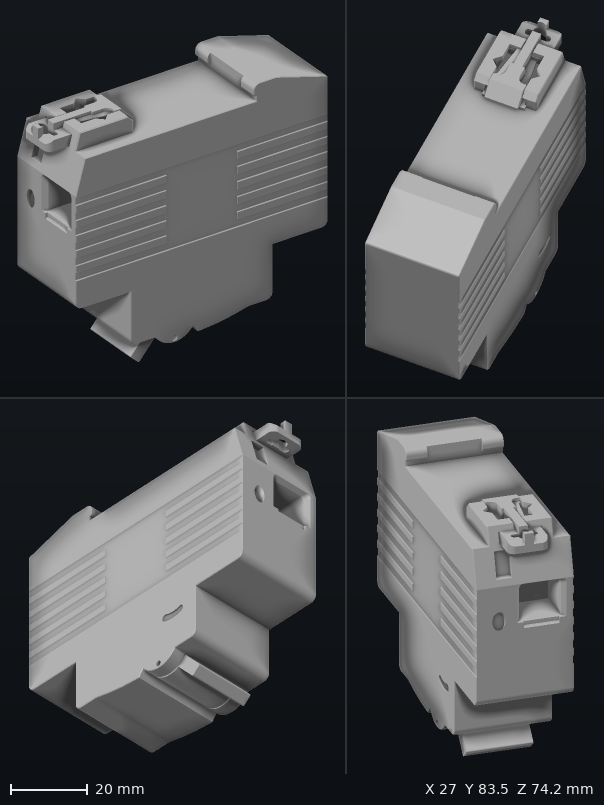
import cadquery as cq
import math

PICK = 0.1

HALF_WIDTH = 13.5
LENGTH = 80.0
DECK_Z = 44.3
EDGE_CHAMFER = 0.2
CORNER_RADIUS = 2.0

FRONT_SLOPE_Z = 33.8
FRONT_SLOPE_RUN = 4.4

NECK_FRONT_Y = 17.5
NECK_LENGTH = 45.0
NECK_BACK_Y = NECK_FRONT_Y + NECK_LENGTH
NECK_Z = -16.1
COVER_START_Y = 54.9
COVER_Z = -18.5
COVER_MID_Y = 47.0
COVER_MID_Z = -17.75
COVER_FLAT = 1.2
CUSP_Z = -16.4
COVER_END_Y = 38.8

DRUM_Y = 31.4
DRUM_Z = -12.2
DRUM_RADIUS = 7.2
LEVER_WIDTH = 18.5
LEVER_THICKNESS = 3.6
LEVER_ANGLE = 49.0
LEVER_REACH = 14.96
LEVER_GAP = 0.45
LEVER_EDGE_RADIUS = 0.4
SEAL_HOLE_DIAMETER = 1.7
SEAL_HOLE_Z = -18.05

HOOK_BACK_Z = 44.7
HOOK_BACK_RADIUS = 0.8
HOOK_TOP_Z = 49.5
HOOK_SLOPE_END_Y = 63.5
HOOK_ROOT_Y = 57.3
HOOK_NOSE_Y = 56.4
HOOK_NOSE_RADIUS = 2.0
HOOK_LIP_Z = 46.6
HOOK_LIP_RADIUS = HOOK_ROOT_Y - HOOK_NOSE_Y
HOOK_NOTCH_HALF_WIDTH = 7.6

BAND_TOP_Z = 33.5
BAND_BOTTOM_Z = 8.6
BAND_DEPTH = 0.25
BAND_WALL_RUN = 0.25
STRIP_COUNT = 5
STRIP_HEIGHT = 2.4
STRIP_LENGTH = 28.75
STRIP_PITCH = 4.5
STRIP_FIRST_Z = 12.1

ARC_SLOT_Y = 26.1
ARC_SLOT_Z = 2.7
ARC_SLOT_RADIUS = 7.6
ARC_SLOT_WIDTH = 2.1
ARC_SLOT_HALF_ANGLE = 22.0
ARC_SLOT_DEPTH = 0.5

SOCKET_X = 4.6
SOCKET_HALF_WIDTH = 5.75
SOCKET_TOP_Z = 33.0
SOCKET_BOTTOM_Z = 22.7
SOCKET_DEPTH = 12.0
SOCKET_LIP = 1.05
SOCKET_LIP_TOP = 0.75
SOCKET_LIP_DEPTH = 1.5
SOCKET_CORNER = 1.2
SILL_HALF_WIDTH = 4.9
SILL_DROP = 1.7
SILL_SLOPE_RISE = 0.6
SILL_DEPTH = 0.6

LED_X = -7.2
LED_Z = 24.0
LED_WIDTH = 3.6
LED_HEIGHT = 5.4
LED_DEPTH = 1.2

POCKET_X = -5.5
POCKET_WIDTH = 4.4
POCKET_BOTTOM_Z = 35.7
POCKET_TOP_Z = 43.0
POCKET_DEPTH = 2.0

BLOCK_HALF_WIDTH = 9.0
BLOCK_TOP_Z = 49.5
BLOCK_BACK_Y = 21.4
BLOCK_CHAMFER = 1.7
BLOCK_EDGE_CHAMFER = 0.3
BLOCK_ROOT = 1.0
BLOCK_FRONT_WALL_Y = 7.65
TUNNEL_HALF_WIDTH = 6.1
TUNNEL_TOP_Z = 47.8
OPENING_HALF_WIDTH = 4.95
NOTCH_DEPTH = 1.92
NOTCH_Y = 14.0
RIB_SLOT_HALF_WIDTH = 1.75

SLIDER_TOP_Z = 49.7
SLIDER_FRONT_Y = -3.5
SLIDER_BACK_Y = 24.0
SLIDER_HEAD_HALF_WIDTH = 4.73
PLATE_HALF_WIDTH = 5.58
PLATE_TOP_Z = 47.6
PLATE_CORNER_RADIUS = 1.9
PLATE_BEVEL_DROP = 1.15
FLOOR_Z = 45.3
HEEL_Y = 22.6
RIB_HALF_WIDTH = 1.25
RIB_FRONT_Y = 1.35
STEM_HALF_WIDTH = 2.0
STEM_FRONT_Y = 13.3
HEAD_FRONT_Y = 18.4
HEAD_FILLET = 1.9
HEAD_BEVEL = 3.5
HEAD_TIP = 0.4
ARM_ROOT_X = 4.1
ARM_ROOT_Y = 17.4
ARM_TIP_X = 2.75
RIGHT_ARM_TOP_Z = 48.7
LEFT_ARM_TOP_Z = 46.2
ARM_ROOT_FILLET = 0.5
FINGER_BACK_Y = -1.6
GRIP_HALF_LENGTH = 3.7
GRIP_BACK_Y = 1.6
GRIP_FRONT_Y = -0.3
GRIP_ARC_RADIUS = 1.9


def box(x0, x1, y0, y1, z0, z1):
    return cq.Workplane("XY").box(x1 - x0, y1 - y0, z1 - z0, centered=False).translate((x0, y0, z0))


def side_prism(points, half_width):
    """Extrude a (Y, Z) outline symmetrically about X = 0."""
    return cq.Workplane("YZ").polyline(points).close().extrude(half_width, both=True)


def plan_prism(points, bottom_z, top_z):
    """Extrude an (X, Y) outline between two heights."""
    return cq.Workplane("XY").workplane(offset=bottom_z).polyline(points).close().extrude(top_z - bottom_z)


def mirrored(points):
    """Complete a right-hand (X, Y) outline with its mirror image about X = 0."""
    return points + [(-x, y) for x, y in reversed(points)]


def front_slope_y(z):
    return FRONT_SLOPE_RUN * (z - FRONT_SLOPE_Z) / (BLOCK_TOP_Z - FRONT_SLOPE_Z)


def drum_offset(z):
    """Half chord of the drum at a height."""
    return math.sqrt(DRUM_RADIUS**2 - (z - DRUM_Z)**2)


def housing():
    nose_top_y = HOOK_NOSE_Y + HOOK_NOSE_RADIUS
    nose_z = HOOK_TOP_Z - HOOK_NOSE_RADIUS
    bend = math.sqrt(0.5)
    body = (
        cq.Workplane("YZ")
        .moveTo(0, 0)
        .lineTo(0, FRONT_SLOPE_Z)
        .lineTo(front_slope_y(DECK_Z), DECK_Z)
        .lineTo(HOOK_ROOT_Y, DECK_Z)
        .lineTo(HOOK_ROOT_Y, HOOK_LIP_Z - HOOK_LIP_RADIUS)
        .threePointArc(
            (HOOK_NOSE_Y + HOOK_LIP_RADIUS * (1 - bend), HOOK_LIP_Z - HOOK_LIP_RADIUS * bend),
            (HOOK_NOSE_Y, HOOK_LIP_Z),
        )
        .lineTo(HOOK_NOSE_Y, nose_z)
        .threePointArc(
            (nose_top_y - HOOK_NOSE_RADIUS * bend, nose_z + HOOK_NOSE_RADIUS * bend),
            (nose_top_y, HOOK_TOP_Z),
        )
        .lineTo(HOOK_SLOPE_END_Y, HOOK_TOP_Z)
        .lineTo(LENGTH, HOOK_BACK_Z)
        .lineTo(LENGTH, 0)
        .lineTo(NECK_BACK_Y, 0)
        .lineTo(NECK_BACK_Y, NECK_Z)
        .lineTo(COVER_START_Y, NECK_Z)
        .threePointArc((COVER_MID_Y, COVER_MID_Z), (COVER_END_Y + COVER_FLAT, COVER_Z))
        .lineTo(COVER_END_Y, COVER_Z)
        .lineTo(DRUM_Y + drum_offset(CUSP_Z), CUSP_Z)
        .threePointArc((DRUM_Y, DRUM_Z - DRUM_RADIUS), (DRUM_Y - drum_offset(NECK_Z), NECK_Z))
        .lineTo(NECK_FRONT_Y, NECK_Z)
        .lineTo(NECK_FRONT_Y, 0)
        .close()
        .extrude(HALF_WIDTH, both=True)
    )

    def edge_at(solid, y, z):
        return solid.edges(cq.selectors.BoxSelector((-PICK, y - PICK, z - PICK), (PICK, y + PICK, z + PICK)))

    for y, z in [(0, 0), (LENGTH, 0), (NECK_FRONT_Y, NECK_Z), (NECK_BACK_Y, NECK_Z)]:
        body = edge_at(body, y, z).fillet(CORNER_RADIUS)
    body = edge_at(body, LENGTH, HOOK_BACK_Z).fillet(HOOK_BACK_RADIUS)
    body = body.faces("<X or >X").chamfer(EDGE_CHAMFER)
    hook_notch = box(
        -HOOK_NOTCH_HALF_WIDTH, HOOK_NOTCH_HALF_WIDTH,
        HOOK_NOSE_Y, HOOK_ROOT_Y, DECK_Z, HOOK_TOP_Z,
    )
    return body.cut(hook_notch)


def bands():
    """Material removed from the +X side: a recessed band that leaves raised strips at both ends."""
    inner = HALF_WIDTH - BAND_DEPTH

    def bar(bottom, top, flare, y0, y1):
        outline = [(inner, bottom), (HALF_WIDTH, bottom - flare), (HALF_WIDTH, top + flare), (inner, top)]
        return cq.Workplane("XZ").polyline(outline).close().extrude(-(y1 - y0)).translate((0, y0, 0))

    band = bar(BAND_BOTTOM_Z + BAND_WALL_RUN, BAND_TOP_Z - BAND_WALL_RUN, BAND_WALL_RUN, 0, LENGTH)
    for i in range(STRIP_COUNT):
        bottom = STRIP_FIRST_Z + i * STRIP_PITCH - STRIP_HEIGHT / 2
        for y0 in (0, LENGTH - STRIP_LENGTH):
            strip = bar(bottom, bottom + STRIP_HEIGHT, -BAND_WALL_RUN, y0, y0 + STRIP_LENGTH)
            band = band.cut(strip)
    return band


def arc_slot():
    inner = ARC_SLOT_RADIUS - ARC_SLOT_WIDTH / 2
    outer = ARC_SLOT_RADIUS + ARC_SLOT_WIDTH / 2

    def at(radius, degrees):
        angle = math.radians(degrees)
        return (ARC_SLOT_Y + radius * math.sin(angle), ARC_SLOT_Z - radius * math.cos(angle))

    end = ARC_SLOT_HALF_ANGLE
    cap = end + math.degrees(ARC_SLOT_WIDTH / 2 / ARC_SLOT_RADIUS)
    return (
        cq.Workplane("YZ").workplane(offset=-HALF_WIDTH)
        .moveTo(*at(inner, -end))
        .threePointArc(at(inner, 0), at(inner, end))
        .threePointArc(at(ARC_SLOT_RADIUS, cap), at(outer, end))
        .threePointArc(at(outer, 0), at(outer, -end))
        .threePointArc(at(ARC_SLOT_RADIUS, -cap), at(inner, -end))
        .close()
        .extrude(ARC_SLOT_DEPTH)
    )


def socket():
    """Connector opening with a bevelled mouth and a sloped sill below it."""
    def mouth(plane, widen, raise_top):
        half = SOCKET_HALF_WIDTH + widen
        top = SOCKET_TOP_Z + raise_top
        inset = SOCKET_CORNER * (1 - math.sqrt(0.5))
        return (
            plane.moveTo(SOCKET_X - half, SOCKET_BOTTOM_Z)
            .lineTo(SOCKET_X + half, SOCKET_BOTTOM_Z)
            .lineTo(SOCKET_X + half, top - SOCKET_CORNER)
            .threePointArc(
                (SOCKET_X + half - inset, top - inset), (SOCKET_X + half - SOCKET_CORNER, top)
            )
            .lineTo(SOCKET_X - half + SOCKET_CORNER, top)
            .threePointArc(
                (SOCKET_X - half + inset, top - inset), (SOCKET_X - half, top - SOCKET_CORNER)
            )
            .close()
        )

    outer = mouth(cq.Workplane("XZ"), SOCKET_LIP, SOCKET_LIP_TOP)
    lip = mouth(outer.workplane(offset=-SOCKET_LIP_DEPTH), 0, 0).loft(ruled=True)
    cavity = mouth(cq.Workplane("XZ"), 0, 0).extrude(-SOCKET_DEPTH)
    sill_z = SOCKET_BOTTOM_Z - SILL_DROP
    sill = side_prism(
        [
            (0, sill_z),
            (SILL_DEPTH, sill_z + SILL_SLOPE_RISE),
            (SILL_DEPTH, SOCKET_BOTTOM_Z),
            (0, SOCKET_BOTTOM_Z),
        ],
        SILL_HALF_WIDTH,
    ).translate((SOCKET_X, 0, 0))
    return lip.union(cavity).union(sill)


def led_hole():
    """Oval hole that runs inward and downward."""
    return (
        cq.Workplane("XZ", origin=(LED_X, 0, LED_Z)).ellipse(LED_WIDTH / 2, LED_HEIGHT / 2)
        .workplane(offset=-LED_DEPTH).center(0, -LED_DEPTH).ellipse(LED_WIDTH / 2, LED_HEIGHT / 2)
        .loft(ruled=True)
    )


def slope_pocket():
    """Rectangular recess in the leaning part of the front face."""
    front_low = front_slope_y(POCKET_BOTTOM_Z)
    front_high = front_slope_y(POCKET_TOP_Z)
    return side_prism(
        [
            (front_low - POCKET_DEPTH, POCKET_BOTTOM_Z),
            (front_low + POCKET_DEPTH, POCKET_BOTTOM_Z),
            (front_high + POCKET_DEPTH, POCKET_TOP_Z),
            (front_high - POCKET_DEPTH, POCKET_TOP_Z),
        ],
        POCKET_WIDTH / 2,
    ).translate((POCKET_X, 0, 0))


def lever_gaps():
    """Clearance beside the lever, below the neck, at both sides."""
    gap = box(
        LEVER_WIDTH / 2, LEVER_WIDTH / 2 + LEVER_GAP,
        DRUM_Y - DRUM_RADIUS, DRUM_Y + drum_offset(NECK_Z),
        DRUM_Z - DRUM_RADIUS, NECK_Z,
    )
    return gap.union(gap.mirror("YZ"))


def lever():
    return (
        cq.Workplane("YZ")
        .rect(LEVER_REACH, LEVER_THICKNESS)
        .extrude(LEVER_WIDTH / 2, both=True)
        .edges("<Y and |X").fillet(LEVER_EDGE_RADIUS)
        .translate((0, -LEVER_REACH / 2, 0))
        .rotate((0, 0, 0), (1, 0, 0), LEVER_ANGLE)
        .translate((0, DRUM_Y, DRUM_Z))
    )


def latch_block():
    root_z = DECK_Z - BLOCK_ROOT
    block = side_prism(
        [
            (front_slope_y(root_z), root_z),
            (front_slope_y(BLOCK_TOP_Z), BLOCK_TOP_Z),
            (BLOCK_BACK_Y - BLOCK_CHAMFER, BLOCK_TOP_Z),
            (BLOCK_BACK_Y, BLOCK_TOP_Z - BLOCK_CHAMFER),
            (BLOCK_BACK_Y, root_z),
        ],
        BLOCK_HALF_WIDTH,
    )
    block = block.faces("<X or >X").chamfer(BLOCK_EDGE_CHAMFER)
    tunnel = box(-TUNNEL_HALF_WIDTH, TUNNEL_HALF_WIDTH, 0, BLOCK_BACK_Y, DECK_Z, TUNNEL_TOP_Z)
    opening = plan_prism(
        mirrored([
            (RIB_SLOT_HALF_WIDTH, 0),
            (RIB_SLOT_HALF_WIDTH, BLOCK_FRONT_WALL_Y),
            (OPENING_HALF_WIDTH, BLOCK_FRONT_WALL_Y),
            (OPENING_HALF_WIDTH, NOTCH_Y - NOTCH_DEPTH),
            (OPENING_HALF_WIDTH + NOTCH_DEPTH, NOTCH_Y),
            (OPENING_HALF_WIDTH, NOTCH_Y + NOTCH_DEPTH),
            (OPENING_HALF_WIDTH, BLOCK_BACK_Y),
        ]),
        DECK_Z, BLOCK_TOP_Z,
    )
    return block.cut(tunnel).cut(opening)


def slider_plate():
    """Pull tab with a grip hole, and the thin plate running back under the spring arms."""
    tab = box(
        -PLATE_HALF_WIDTH, PLATE_HALF_WIDTH,
        SLIDER_FRONT_Y, BLOCK_FRONT_WALL_Y, DECK_Z, PLATE_TOP_Z,
    )
    tab = tab.edges("|Z and <Y").fillet(PLATE_CORNER_RADIUS)
    bevel = side_prism(
        [
            (FINGER_BACK_Y, PLATE_TOP_Z),
            (SLIDER_FRONT_Y, PLATE_TOP_Z - PLATE_BEVEL_DROP),
            (SLIDER_FRONT_Y, PLATE_TOP_Z),
        ],
        PLATE_HALF_WIDTH,
    )
    finger = box(-RIB_HALF_WIDTH, RIB_HALF_WIDTH, SLIDER_FRONT_Y, FINGER_BACK_Y, DECK_Z, SLIDER_TOP_Z)
    grip_width = GRIP_BACK_Y - GRIP_FRONT_Y
    grip = (
        cq.Workplane("XY", origin=(0, (GRIP_BACK_Y + GRIP_FRONT_Y) / 2, DECK_Z))
        .slot2D(2 * GRIP_HALF_LENGTH, grip_width)
        .extrude(SLIDER_TOP_Z - DECK_Z)
    )
    grip_arc = (
        cq.Workplane("XY", origin=(0, GRIP_FRONT_Y, DECK_Z))
        .circle(GRIP_ARC_RADIUS).extrude(SLIDER_TOP_Z - DECK_Z)
        .intersect(box(-PLATE_HALF_WIDTH, PLATE_HALF_WIDTH, SLIDER_FRONT_Y, 0, DECK_Z, SLIDER_TOP_Z))
    )
    floor = box(-PLATE_HALF_WIDTH, PLATE_HALF_WIDTH, BLOCK_FRONT_WALL_Y, BLOCK_BACK_Y, DECK_Z, FLOOR_Z)
    heel = box(-TUNNEL_HALF_WIDTH, TUNNEL_HALF_WIDTH, BLOCK_BACK_Y, HEEL_Y, DECK_Z, FLOOR_Z)
    return tab.cut(bevel).union(floor).union(heel).union(finger).cut(grip).cut(grip_arc)


def round_corners(solid, x, y, radius):
    """Fillet the pair of vertical edges at plus and minus X."""
    for corner_x in (-x, x):
        corner = cq.selectors.BoxSelector(
            (corner_x - PICK, y - PICK, DECK_Z), (corner_x + PICK, y + PICK, SLIDER_TOP_Z)
        )
        solid = solid.edges(corner).fillet(radius)
    return solid


def slider_rib():
    """Full-height head, stem and rib, with a high right and a low left spring arm beside the stem."""
    rib = plan_prism(
        mirrored([
            (RIB_HALF_WIDTH, RIB_FRONT_Y),
            (RIB_HALF_WIDTH, STEM_FRONT_Y),
            (STEM_HALF_WIDTH, STEM_FRONT_Y),
            (STEM_HALF_WIDTH, HEAD_FRONT_Y),
            (SLIDER_HEAD_HALF_WIDTH, HEAD_FRONT_Y),
            (SLIDER_HEAD_HALF_WIDTH, SLIDER_BACK_Y),
        ]),
        DECK_Z, SLIDER_TOP_Z,
    )
    rib = round_corners(rib, STEM_HALF_WIDTH, HEAD_FRONT_Y, HEAD_FILLET)
    arms = plan_prism(
        mirrored([
            (ARM_TIP_X, BLOCK_FRONT_WALL_Y),
            (ARM_ROOT_X, ARM_ROOT_Y),
            (SLIDER_HEAD_HALF_WIDTH, ARM_ROOT_Y),
            (SLIDER_HEAD_HALF_WIDTH, HEAD_FRONT_Y),
        ]),
        DECK_Z, RIGHT_ARM_TOP_Z,
    )
    arms = round_corners(arms, ARM_ROOT_X, ARM_ROOT_Y, ARM_ROOT_FILLET)
    above_left_arm = box(
        -SLIDER_HEAD_HALF_WIDTH, 0, BLOCK_FRONT_WALL_Y, HEAD_FRONT_Y, LEFT_ARM_TOP_Z, RIGHT_ARM_TOP_Z
    )
    arms = arms.cut(above_left_arm)
    side_outline = side_prism(
        [
            (RIB_FRONT_Y, DECK_Z),
            (HEEL_Y, DECK_Z),
            (HEEL_Y, FLOOR_Z),
            (SLIDER_BACK_Y, SLIDER_TOP_Z - HEAD_BEVEL - HEAD_TIP),
            (SLIDER_BACK_Y, SLIDER_TOP_Z - HEAD_BEVEL),
            (SLIDER_BACK_Y - HEAD_BEVEL, SLIDER_TOP_Z),
            (RIB_FRONT_Y, SLIDER_TOP_Z),
        ],
        SLIDER_HEAD_HALF_WIDTH,
    )
    return rib.union(arms).intersect(side_outline)


right_bands = bands()
left_bands = right_bands.mirror("YZ")
seal_hole = (
    cq.Workplane("YZ").center(DRUM_Y, SEAL_HOLE_Z).circle(SEAL_HOLE_DIAMETER / 2)
    .extrude(HALF_WIDTH, both=True)
)

result = housing().cut(lever_gaps())
for removed in (right_bands, left_bands, arc_slot(), socket(), led_hole()):
    result = result.cut(removed)
result = result.union(lever()).cut(seal_hole)
result = result.union(latch_block()).cut(slope_pocket())
result = result.union(slider_plate()).union(slider_rib())